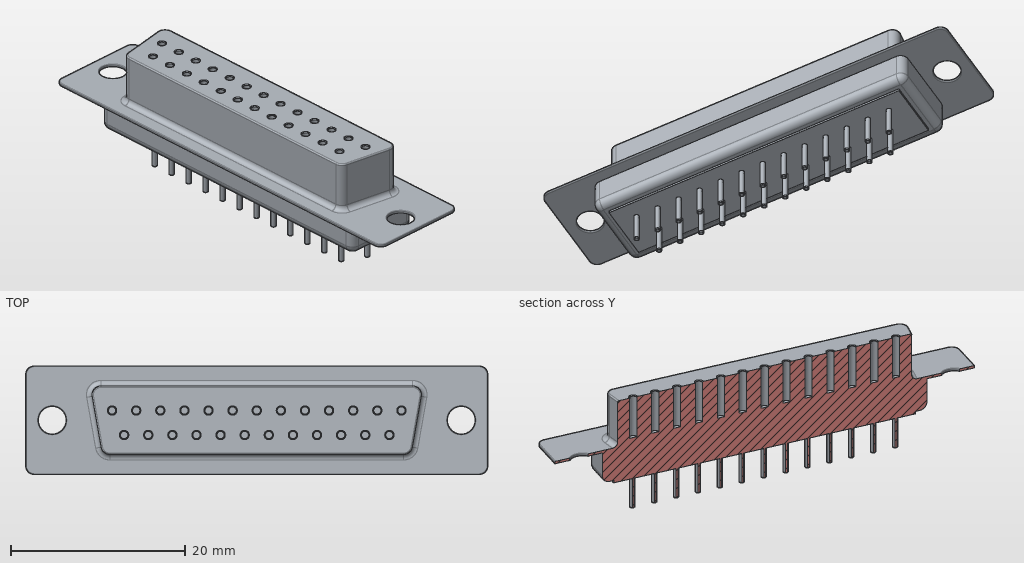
import cadquery as cq
import math

FLANGE_LENGTH = 53.1
FLANGE_WIDTH = 12.5
FLANGE_THICKNESS = 0.35
CORNER_RADIUS = 1.0
FLANGE_EDGE_FILLET = 0.08
MOUNT_HOLE_SPACING = 47.0
MOUNT_HOLE_DIAMETER = 3.2

SHELL_LENGTH = 38.25
SHELL_WIDTH = 7.85
SHELL_HEIGHT = 6.1
SHELL_SIDE_ANGLE = 10.0
SHELL_ROOT_FILLET = 0.65
SHELL_RIM_FILLET = 0.15

HOUSING_LENGTH = 41.1
HOUSING_WIDTH = 9.75
HOUSING_HEIGHT = 4.0
HOUSING_BOTTOM_FILLET = 0.95
PAD_LENGTH = 38.2
PAD_WIDTH = 6.95
PAD_HEIGHT = 0.3

LONG_ROW_LENGTH = 33.25
ROW_SPACING = 2.8
LONG_ROW_COUNT = 13
CONTACT_PITCH = LONG_ROW_LENGTH / (LONG_ROW_COUNT - 1)
SOCKET_DIAMETER = 0.85
SOCKET_DEPTH = 5.3
SOCKET_SHIFT = -0.29
SOCKET_CHAMFER = 0.1
SOCKET_CHAMFER_ANGLE = 90.0
PIN_DIAMETER = 0.65
PIN_LENGTH = 3.95
PIN_TIP_CHAMFER = 0.1

SHELL_TOP_Z = FLANGE_THICKNESS + SHELL_HEIGHT
PAD_BOTTOM_Z = -HOUSING_HEIGHT - PAD_HEIGHT


def contact_row(count, y):
    """Centres of one row of contacts, symmetric about x = 0."""
    first_x = -CONTACT_PITCH * (count - 1) / 2
    return [(first_x + i * CONTACT_PITCH, y) for i in range(count)]


def contact_grid(shift_y=0.0):
    """Centres of both staggered rows, moved together along Y by shift_y."""
    long_row = contact_row(LONG_ROW_COUNT, shift_y + ROW_SPACING / 2)
    short_row = contact_row(LONG_ROW_COUNT - 1, shift_y - ROW_SPACING / 2)
    return long_row + short_row


def make_flange():
    return (
        cq.Workplane("XY")
        .rect(FLANGE_LENGTH, FLANGE_WIDTH)
        .extrude(FLANGE_THICKNESS)
        .edges("|Z")
        .fillet(CORNER_RADIUS)
        .faces(">Z")
        .workplane(origin=(0, 0, FLANGE_THICKNESS))
        .pushPoints([(-MOUNT_HOLE_SPACING / 2, 0), (MOUNT_HOLE_SPACING / 2, 0)])
        .hole(MOUNT_HOLE_DIAMETER)
        .faces("|Z")
        .edges()
        .fillet(FLANGE_EDGE_FILLET)
    )


def make_shell():
    half_width = SHELL_WIDTH / 2
    wide_x = SHELL_LENGTH / 2
    narrow_x = wide_x - SHELL_WIDTH * math.tan(math.radians(SHELL_SIDE_ANGLE))
    outline = [
        (-wide_x, half_width),
        (wide_x, half_width),
        (narrow_x, -half_width),
        (-narrow_x, -half_width),
    ]
    return (
        cq.Workplane("XY")
        .workplane(offset=FLANGE_THICKNESS)
        .polyline(outline)
        .close()
        .extrude(SHELL_HEIGHT)
        .edges("|Z")
        .fillet(CORNER_RADIUS)
        .faces(">Z")
        .edges()
        .fillet(SHELL_RIM_FILLET)
    )


def join_shell_to_flange():
    """Fuse shell and flange, then round the inside corner where they meet."""
    body = make_flange().union(make_shell())
    root_edges = cq.selectors.BoxSelector(
        (-SHELL_LENGTH / 2, -SHELL_WIDTH / 2 - SHELL_ROOT_FILLET, FLANGE_THICKNESS / 2),
        (SHELL_LENGTH / 2, SHELL_WIDTH / 2 + SHELL_ROOT_FILLET, FLANGE_THICKNESS * 1.5),
    )
    return body.edges(root_edges).fillet(SHELL_ROOT_FILLET)


def make_housing():
    return (
        cq.Workplane("XY")
        .rect(HOUSING_LENGTH, HOUSING_WIDTH)
        .extrude(-HOUSING_HEIGHT)
        .edges("|Z")
        .fillet(CORNER_RADIUS)
        .faces("<Z")
        .edges()
        .fillet(HOUSING_BOTTOM_FILLET)
    )


def make_pad():
    return (
        cq.Workplane("XY")
        .workplane(offset=-HOUSING_HEIGHT)
        .rect(PAD_LENGTH, PAD_WIDTH)
        .extrude(-PAD_HEIGHT)
    )


def make_pins(centres):
    return (
        cq.Workplane("XY")
        .workplane(offset=PAD_BOTTOM_Z)
        .pushPoints(centres)
        .circle(PIN_DIAMETER / 2)
        .extrude(-PIN_LENGTH)
        .faces("<Z")
        .edges()
        .chamfer(PIN_TIP_CHAMFER)
    )


def cut_sockets(body, centres):
    mouth_diameter = SOCKET_DIAMETER + 2 * SOCKET_CHAMFER
    return (
        body.faces(">Z")
        .workplane(origin=(0, 0, SHELL_TOP_Z))
        .pushPoints(centres)
        .cskHole(SOCKET_DIAMETER, mouth_diameter, SOCKET_CHAMFER_ANGLE, SOCKET_DEPTH)
    )


result = join_shell_to_flange()
result = result.union(make_housing()).union(make_pad()).union(make_pins(contact_grid()))
result = cut_sockets(result, contact_grid(SOCKET_SHIFT))